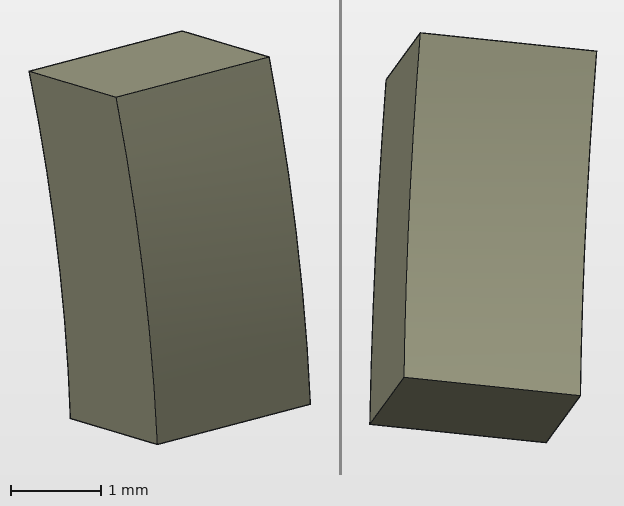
import cadquery as cq
import math

inner_radius = 12.65
outer_radius = 14.5
block_length = 4.0
block_depth = 2.0
tilt_angle = 12.5

half_length = block_length / 2


def flank_distance(radius):
    """Distance from the ring axis to the chord of an arc, along the block's midline."""
    return math.sqrt(radius**2 - half_length**2)


inner_flank = flank_distance(inner_radius)
outer_flank = flank_distance(outer_radius)

profile = (
    cq.Workplane("XZ")
    .moveTo(inner_flank, -half_length)
    .lineTo(outer_flank, -half_length)
    .threePointArc((outer_radius, 0), (outer_flank, half_length))
    .lineTo(inner_flank, half_length)
    .threePointArc((inner_radius, 0), (inner_flank, -half_length))
    .close()
)
block = profile.extrude(block_depth / 2, both=True)

result = block.rotate((0, 0, 0), (0, 1, 0), -tilt_angle)